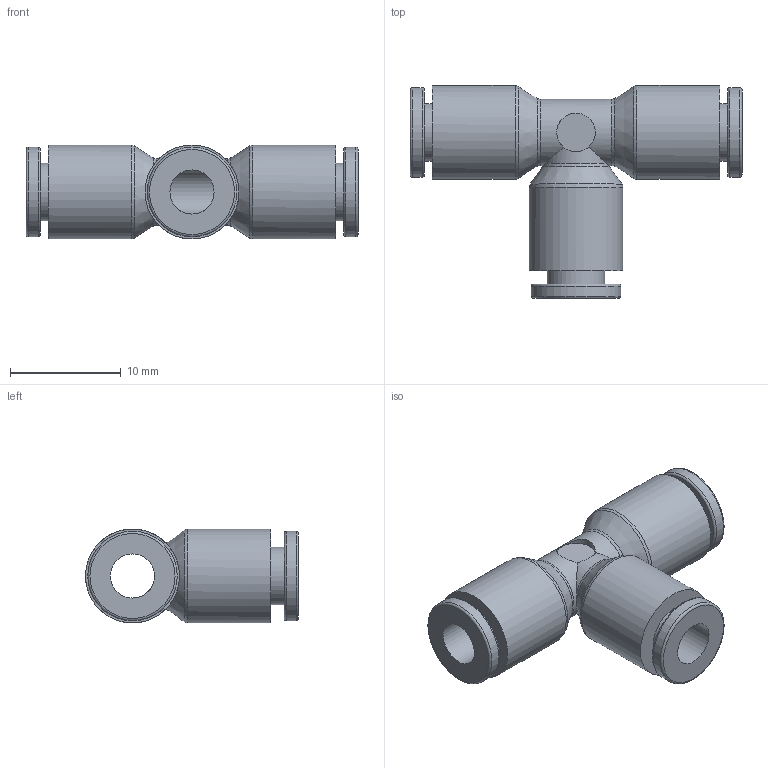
import cadquery as cq

arm_length = 15.02
bore_diameter = 4.0

body_radius = 4.25
run_body_end = 13.0
run_body_start = 5.35
run_taper_end = 3.4
branch_body_end = 12.5
branch_body_start = 4.8
branch_taper_end = 2.97
corner_fillet = 0.5

run_tube_radius = 3.0
branch_tube_radius = 2.92

neck_radius = 2.6
collar_radius = 4.05
collar_thickness = 1.3
collar_round = 0.2

recess_radius = 1.75
recess_floor = 2.4


def fillet_ring(solid, height, radius):
    """Round the circular edge centred on the Z axis at the given height."""
    half_window = 0.01
    ring = cq.selectors.BoxSelector(
        (-half_window, -half_window, height - half_window),
        (half_window, half_window, height + half_window),
    )
    return solid.edges(ring).fillet(radius)


def make_arm(tube_radius, taper_end, body_start, body_end):
    """Arm standing on the origin along +Z: tube, taper, body, neck and collar."""
    body = (
        cq.Workplane("XZ")
        .lineTo(tube_radius, 0)
        .lineTo(tube_radius, taper_end)
        .lineTo(body_radius, body_start)
        .lineTo(body_radius, body_end)
        .lineTo(0, body_end)
        .close()
        .revolve(360, (0, 0), (0, 1))
    )
    body = fillet_ring(body, taper_end, corner_fillet)
    body = fillet_ring(body, body_start, corner_fillet)

    collar_base = arm_length - collar_thickness
    neck = cq.Workplane("XY").workplane(offset=body_end).circle(neck_radius).extrude(collar_base - body_end)
    collar = cq.Workplane("XY").workplane(offset=collar_base).circle(collar_radius).extrude(collar_thickness)
    collar = collar.faces("<Z or >Z").edges().fillet(collar_round)
    return body.union(neck).union(collar)


def bore_along_z(length):
    return cq.Workplane("XY").circle(bore_diameter / 2).extrude(length)


def turn_to_x(shape):
    return shape.rotate((0, 0, 0), (0, 1, 0), 90)


def turn_to_minus_y(shape):
    return shape.rotate((0, 0, 0), (1, 0, 0), 90)


run_arm = turn_to_x(make_arm(run_tube_radius, run_taper_end, run_body_start, run_body_end))
branch_arm = turn_to_minus_y(
    make_arm(branch_tube_radius, branch_taper_end, branch_body_start, branch_body_end)
)
tee = run_arm.union(run_arm.rotate((0, 0, 0), (0, 0, 1), 180)).union(branch_arm).clean()

run_bore_half = turn_to_x(bore_along_z(arm_length))
tee = tee.cut(run_bore_half.union(run_bore_half.mirror("YZ")))
tee = tee.cut(turn_to_minus_y(bore_along_z(arm_length)))

recess = (
    cq.Workplane("XY")
    .workplane(offset=recess_floor)
    .circle(recess_radius)
    .extrude(body_radius - recess_floor)
)
result = tee.cut(recess)